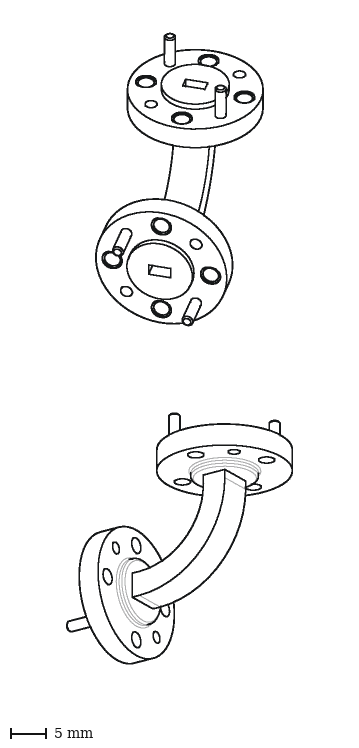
import cadquery as cq
import math

flange_diameter = 19.05
flange_thickness = 3.22
face_boss_height = 0.88
boss_diameter = 9.53
collar_height = 1.07
collar_edge_fillet = 0.33
collar_root_fillet = 0.3

bolt_circle_radius = 7.15
screw_hole_diameter = 2.28
screw_recess_diameter = 2.85
screw_recess_depth = 0.2
dowel_hole_diameter = 1.7
pin_diameter = 1.55
pin_length = 4.78
pin_chamfer = 0.23

channel_width = 3.22
channel_height = 1.6
tube_width = 5.2
tube_height = 3.65
bend_radius = 12.68
straight_length = 1.25

flange_face_distance = straight_length + collar_height + flange_thickness
tube_run = flange_face_distance + face_boss_height


def polar_points(start_angle, count):
    """Evenly spaced points on the bolt circle."""
    angles = [math.radians(start_angle + i * 360 / count) for i in range(count)]
    return [(bolt_circle_radius * math.cos(a), bolt_circle_radius * math.sin(a)) for a in angles]


def make_flange():
    """Flange with its mating face on Z = 0 and its collar toward -Z."""
    plate = cq.Workplane("XY").circle(flange_diameter / 2).extrude(-flange_thickness)
    boss = cq.Workplane("XY").circle(boss_diameter / 2).extrude(face_boss_height)
    collar = (
        cq.Workplane("XY")
        .workplane(offset=-flange_thickness)
        .circle(boss_diameter / 2)
        .extrude(-collar_height)
        .faces("<Z")
        .edges()
        .fillet(collar_edge_fillet)
    )
    body = plate.union(boss).union(collar)
    back_face = cq.selectors.NearestToPointSelector((0, bolt_circle_radius, -flange_thickness))
    collar_root = body.faces(back_face).edges(cq.selectors.RadiusNthSelector(0))
    body = collar_root.fillet(collar_root_fillet)

    screw_holes = (
        cq.Workplane("XY")
        .pushPoints(polar_points(0, 4))
        .circle(screw_hole_diameter / 2)
        .extrude(-flange_thickness)
    )
    screw_recesses = (
        cq.Workplane("XY")
        .pushPoints(polar_points(0, 4))
        .circle(screw_recess_diameter / 2)
        .extrude(-screw_recess_depth)
    )
    dowel_holes = (
        cq.Workplane("XY")
        .pushPoints(polar_points(45, 2))
        .circle(dowel_hole_diameter / 2)
        .extrude(-flange_thickness)
    )
    pins = (
        cq.Workplane("XY")
        .workplane(offset=-flange_thickness)
        .pushPoints(polar_points(135, 2))
        .circle(pin_diameter / 2)
        .extrude(flange_thickness + pin_length)
        .faces(">Z")
        .chamfer(pin_chamfer)
    )
    return body.cut(screw_holes).cut(screw_recesses).cut(dowel_holes).union(pins)


def make_bent_bar(width, height):
    """Rectangular bar following the waveguide centerline between both boss faces."""
    centerline = (
        cq.Workplane("YZ")
        .moveTo(-bend_radius - tube_run, 0)
        .lineTo(-bend_radius, 0)
        .radiusArc((0, bend_radius), -bend_radius)
        .lineTo(0, bend_radius + tube_run)
    )
    start = cq.Workplane("XZ", origin=(0, -bend_radius - tube_run, 0))
    return start.rect(width, height).sweep(centerline)


flange_offset = bend_radius + flange_face_distance
upper_flange = make_flange().translate((0, 0, flange_offset))
lower_flange = make_flange().rotate((0, 0, 0), (1, 0, 0), 90).translate((0, -flange_offset, 0))
tube = make_bent_bar(tube_width, tube_height)
channel = make_bent_bar(channel_width, channel_height)

result = tube.union(upper_flange).union(lower_flange).cut(channel)